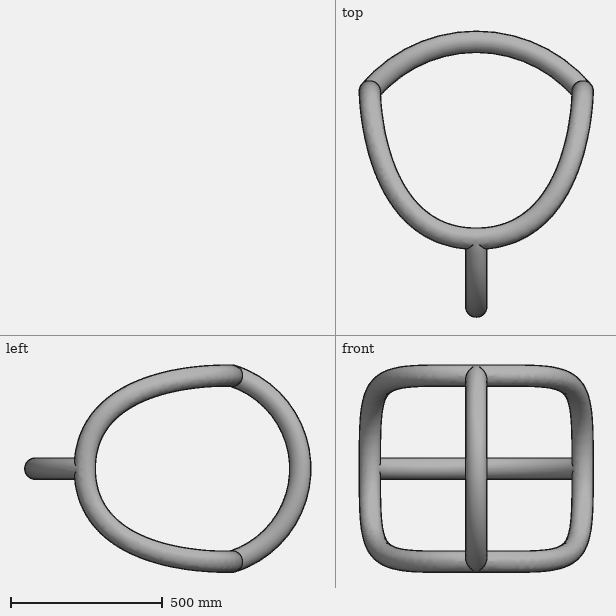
import cadquery as cq

overall_width = 771.0
overall_depth = 942.0
overall_height = 682.0
tube_diameter = 71.0
tube_radius = tube_diameter / 2

side_x = overall_width / 2 - tube_radius
end_y = overall_depth / 2 - tube_radius
top_z = overall_height / 2 - tube_radius

saddle_side_y = 273.0
saddle_top_y = -212.0

corner_reach_x = 349.0
corner_reach_z = 330.0

side_point = (side_x, saddle_side_y, 0)
top_point = (0, saddle_top_y, top_z)


def tube(edge):
    """Round bar that follows a curved edge."""
    section_plane = cq.Plane(origin=edge.startPoint(), normal=edge.tangentAt(0))
    path = cq.Workplane("XY").newObject([cq.Wire.assembleEdges([edge])])
    return cq.Workplane(section_plane).circle(tube_radius).sweep(path)


def saddle_loop():
    """Closed saddle-shaped ring built from four mirrored quarters."""
    control_points = [
        cq.Vector(*side_point),
        cq.Vector(side_x, saddle_side_y, corner_reach_z),
        cq.Vector(corner_reach_x, saddle_top_y, top_z),
        cq.Vector(*top_point),
    ]
    quarter = tube(cq.Edge.makeBezier(control_points))
    upper_half = quarter.union(quarter.mirror("YZ"))
    return upper_half.union(upper_half.mirror("XY"))


def arch(start, crown, end):
    """Circular arch that joins two opposite points of the saddle loop."""
    return tube(cq.Edge.makeThreePointArc(cq.Vector(*start), cq.Vector(*crown), cq.Vector(*end)))


back_arch = arch(side_point, (0, end_y, 0), (-side_x, saddle_side_y, 0))

front_arch = arch(top_point, (0, -end_y, 0), (0, saddle_top_y, -top_z))

result = saddle_loop().union(back_arch).union(front_arch)